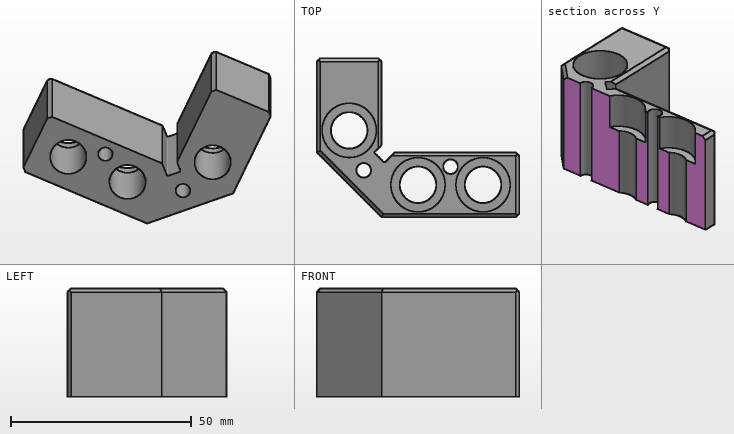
import cadquery as cq

length_x = 56.0
length_y = 44.0
height = 30.0
arm_width = 18.0
edge_chamfer = 1.0

bore_diameter = 10.0
counterbore_diameter = 15.0
counterbore_depth = 10.0
arm_centre = arm_width / 2
y_arm_bore_y = 24.0
corner_bore_x = 28.0
bore_pitch = arm_width
bore_centres = [
    (arm_centre, y_arm_bore_y),
    (corner_bore_x, arm_centre),
    (corner_bore_x + bore_pitch, arm_centre),
]

pin_diameter = 4.0
corner_pin_xy = 13.0
arm_pin_y = 14.0
pin_centres = [
    (corner_pin_xy, corner_pin_xy),
    (corner_bore_x + bore_pitch / 2, arm_pin_y),
]

notch_width = 4.0
notch_depth = 1.5
notch_offset = 0.55
notch_fillet = 0.3
notch_angle = 45
notch_reach = 5.6


def make_body():
    """L-shaped block with a chamfered top rim and chamfered corners at the arm ends."""
    body = (
        cq.Workplane("XY")
        .moveTo(arm_width, 0)
        .lineTo(length_x, 0)
        .lineTo(length_x, arm_width)
        .lineTo(arm_width, arm_width)
        .lineTo(arm_width, length_y)
        .lineTo(0, length_y)
        .lineTo(0, arm_width)
        .close()
        .extrude(height)
    )
    body = body.faces(">Z").edges().chamfer(edge_chamfer)
    return body.faces(">X or >Y").edges("|Z").chamfer(edge_chamfer)


def make_notch():
    """Diagonal cutter with rounded floor corners, as tall as the block."""
    cutter_length = notch_depth + notch_reach
    cutter = (
        cq.Workplane("XY")
        .center((notch_reach - notch_depth) / 2, -notch_offset)
        .rect(cutter_length, notch_width)
        .extrude(height)
        .faces("<X")
        .edges("|Z")
        .fillet(notch_fillet)
    )
    return cutter.rotate((0, 0, 0), (0, 0, 1), notch_angle).translate((arm_width, arm_width, 0))


def mark_on_top(body, centres):
    """Place hole centres on the top plane of the body, ready for drilling."""
    return body.copyWorkplane(cq.Workplane("XY", origin=(0, 0, height))).pushPoints(centres)


result = make_body().cut(make_notch())
result = mark_on_top(result, bore_centres).cboreHole(
    bore_diameter, counterbore_diameter, counterbore_depth
)
result = mark_on_top(result, pin_centres).hole(pin_diameter)